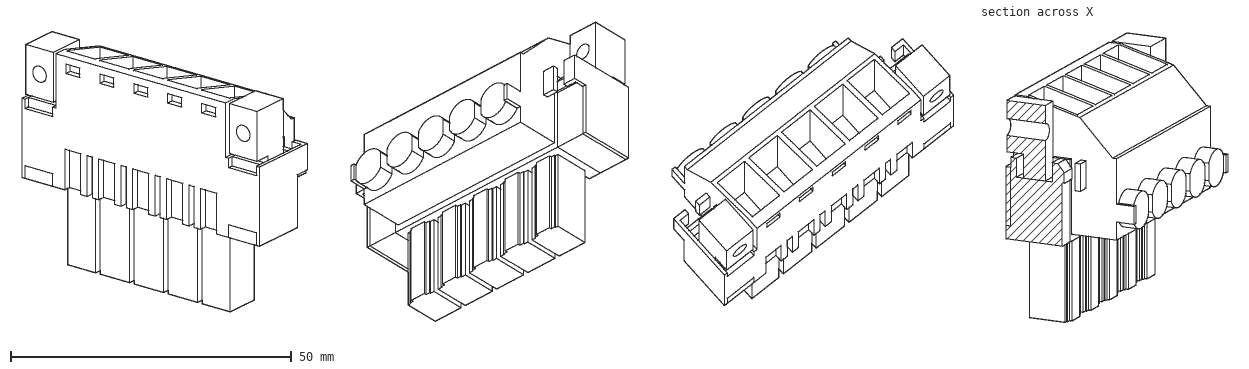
import cadquery as cq


pole_count = 5
pole_pitch = 7.65
pole_xs = [(i - (pole_count - 1) / 2) * pole_pitch for i in range(pole_count)]
divider_xs = [(i - pole_count / 2) * pole_pitch for i in range(1, pole_count)]

overall_length = 53.35
body_length = pole_count * pole_pitch
body_top = 25.7
body_rear = 20.1
body_rear_bottom = 1.3
roof_rear_z = 16.4
roof_rear_flat = 0.8
ridge_y = 12.8
ridge_z = 23.1
front_top_width = 2.55
end_wall = 0.8

pocket_width = 6.6
pocket_front = 2.25
pocket_rear = 11.95
pocket_floor = 7.85

window_width = 3.1
window_bottom = 22.45
window_top = 24.25
window_depth = 1.3
slot_height = 7.85
slot_depth = 1.45
wide_slot_width = 3.6
narrow_slot_width = 1.2

prong_length = 15.45
prong_width = 6.6
prong_front = 2.4
prong_rear = 9.5
prong_rib_width = 3.2
prong_rib_rear = 10.2
prong_step_width = 4.8
prong_step_rear = 9.7

tab_rear = 23.6
tab_bottom = 4.65
tab_top = 7.95

wing_height = 15.25
wing_depth = 11.2
wing_wall = 0.7
wing_front_wall = 1.0
wing_notch_bottom = 13.45
hook_rear = 14.1
hook_thickness = 1.0
hook_bottom = 10.2
hook_gap = 2.5
hook_reach = 2.65

clip_width = 6.2
clip_x = overall_length / 2 - wing_wall - clip_width / 2
clip_base_top = 11.75
clip_tab_height = 2.45
front_arm_rear = 2.2
latch_front = 9.2
latch_top_rear = 10.35
latch_tip = 11.65
latch_tip_top = 13.7

block_front = 0.2
block_rear = 7.9
block_undercut = 16.1
stem_front = 3.4
screw_hole_diameter = 3.05
screw_hole_z = 20.75

knob_diameter = 6.85
knob_width = pole_pitch - 2 * end_wall
knob_rear = 23.1
knob_z = (tab_bottom + tab_top) / 2


def box(x_middle, width, y_front, y_rear, z_bottom, z_top):
    """Box centred at x_middle, between the given Y and Z limits."""
    return cq.Workplane("XY").box(
        width, y_rear - y_front, z_top - z_bottom, centered=(True, False, False)
    ).translate((x_middle, y_front, z_bottom))


def side_profile(points, x_middle, width):
    """Prism with a closed (y, z) outline, centred at x_middle."""
    return cq.Workplane("YZ", origin=(x_middle - width / 2, 0, 0)).polyline(points).close().extrude(width)


def body_block():
    return side_profile(
        [
            (0, 0),
            (wing_depth, 0),
            (wing_depth, body_rear_bottom),
            (body_rear, body_rear_bottom),
            (body_rear, roof_rear_z),
            (body_rear - roof_rear_flat, roof_rear_z),
            (ridge_y, ridge_z),
            (front_top_width, body_top),
            (0, body_top),
        ],
        0,
        body_length,
    )


def wing(side):
    """Open-backed channel beside the body that holds a clip; side is -1 or 1."""
    wing_length = (overall_length - body_length) / 2
    wing_x = side * (body_length + wing_length) / 2
    outer_wall_x = side * (overall_length - wing_wall) / 2
    shape = box(wing_x, wing_length, 0, wing_depth, 0, wing_height)
    shape = shape.union(box(outer_wall_x, wing_wall, 0, hook_rear, hook_bottom, wing_height))
    hooks = box(wing_x, wing_length, hook_rear - hook_thickness, hook_rear, hook_bottom, wing_height)
    gap_x = side * (overall_length / 2 - hook_reach - hook_gap / 2)
    hooks = hooks.cut(box(gap_x, hook_gap, 0, hook_rear, 0, wing_height))
    shape = shape.union(hooks)
    clip_space = box(side * clip_x, clip_width, wing_front_wall, wing_depth, 0, wing_height)
    notch = box(side * clip_x, clip_width, 0, wing_front_wall, wing_notch_bottom, wing_height)
    tab_opening = box(side * clip_x, clip_width, 0, wing_front_wall, 0, clip_tab_height)
    return shape.cut(clip_space).cut(notch).cut(tab_opening)


def pole_box(x, width, y_front, y_rear, z_bottom, z_top):
    """Box of one pole, trimmed at the end poles to stay clear of the end walls of the body."""
    inner_limit = body_length / 2 - end_wall
    left = max(x - width / 2, -inner_limit)
    right = min(x + width / 2, inner_limit)
    return box((left + right) / 2, right - left, y_front, y_rear, z_bottom, z_top)


def prong(x):
    """Prong with a stepped rib along its rear face."""
    shape = pole_box(x, prong_width, prong_front, prong_rear, -prong_length, 0)
    step = box(x, prong_step_width, prong_rear, prong_step_rear, -prong_length, 0)
    rib = box(x, prong_rib_width, prong_rear, prong_rib_rear, -prong_length, 0)
    return shape.union(step).union(rib)


def wire_pocket(x):
    return pole_box(x, pocket_width, pocket_front, pocket_rear, pocket_floor, body_top)


def make_housing():
    shape = body_block()
    for side in (-1, 1):
        tab_x = side * (body_length - end_wall) / 2
        shape = shape.union(wing(side))
        shape = shape.union(box(tab_x, end_wall, body_rear, tab_rear, tab_bottom, tab_top))
    for x in pole_xs:
        shape = shape.union(prong(x))
        shape = shape.cut(wire_pocket(x))
        shape = shape.cut(box(x, window_width, 0, window_depth, window_bottom, window_top))
        shape = shape.cut(box(x, wide_slot_width, 0, slot_depth, 0, slot_height))
    for x in divider_xs:
        shape = shape.cut(box(x, narrow_slot_width, 0, slot_depth, 0, slot_height))
    return shape


def make_clip(x):
    """U-shaped clip whose front tab ends flush in the opening at the foot of the wing."""
    return side_profile(
        [
            (0, 0),
            (wing_depth, 0),
            (wing_depth, clip_base_top),
            (latch_tip, clip_base_top),
            (latch_tip, latch_tip_top),
            (latch_top_rear, wing_height),
            (latch_front, wing_height),
            (latch_front, clip_base_top),
            (front_arm_rear, clip_base_top),
            (front_arm_rear, wing_height),
            (wing_front_wall, wing_height),
            (wing_front_wall, clip_tab_height),
            (0, clip_tab_height),
        ],
        x,
        clip_width,
    )


def make_flange_block(x):
    """Block with a screw hole from front to rear and a thinner stem below."""
    block_depth = block_rear - block_front
    shape = box(x, clip_width, block_front, block_rear, block_undercut, body_top)
    shape = shape.union(box(x, clip_width, stem_front, block_rear, clip_base_top, block_undercut))
    hole = cq.Workplane("XZ", origin=(x, block_front, screw_hole_z)).circle(screw_hole_diameter / 2)
    return shape.cut(hole.extrude(-block_depth))


def make_knob(x):
    """Round knob against the rear face, flattened on its left and right sides."""
    knob_length = knob_rear - body_rear
    disc = cq.Workplane("XZ", origin=(x, body_rear, knob_z)).circle(knob_diameter / 2).extrude(-knob_length)
    flats = box(x, knob_width, body_rear, knob_rear, knob_z - knob_diameter / 2, knob_z + knob_diameter / 2)
    return disc.intersect(flats)


housing = make_housing()
clips = [make_clip(side * clip_x) for side in (-1, 1)]
flange_blocks = [make_flange_block(side * clip_x) for side in (-1, 1)]
knobs = [make_knob(x) for x in pole_xs]

result = cq.Compound.makeCompound(
    [
        housing.val(),
        *[clip.val() for clip in clips],
        *[block.val() for block in flange_blocks],
        *[knob.val() for knob in knobs],
    ]
)